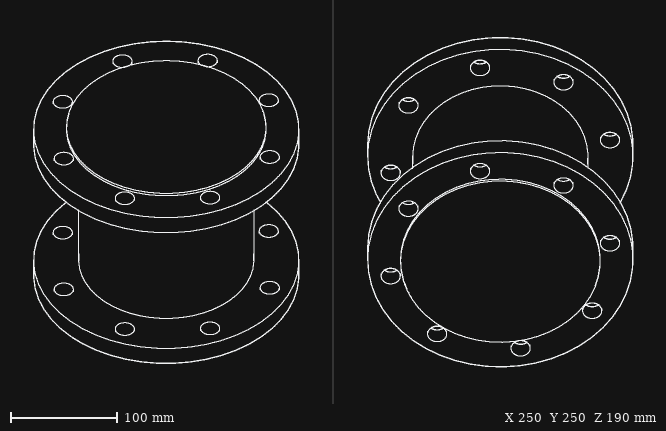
import cadquery as cq

total_height = 190.0
barrel_diameter = 165.0

flange_diameter = 250.0
flange_thickness = 19.0
raised_face_diameter = 188.0
raised_face_height = 3.0

bolt_hole_count = 8
bolt_hole_diameter = 18.0
bolt_circle_diameter = 210.0
first_hole_angle = 360.0 / bolt_hole_count / 2


def disc(diameter, height, base_z):
    """Solid cylinder on the Z axis, standing on base_z."""
    return cq.Workplane("XY", origin=(0, 0, base_z)).circle(diameter / 2).extrude(height)


def bottom_flange():
    """Flange with its raised face resting on Z = 0 and its bolt holes drilled through."""
    raised_face = disc(raised_face_diameter, raised_face_height, 0)
    plate = disc(flange_diameter, flange_thickness, raised_face_height)
    bolt_holes = (
        cq.Workplane("XY", origin=(0, 0, raised_face_height))
        .polarArray(bolt_circle_diameter / 2, first_hole_angle, 360, bolt_hole_count)
        .circle(bolt_hole_diameter / 2)
        .extrude(flange_thickness)
    )
    return plate.cut(bolt_holes).union(raised_face)


lower_flange = bottom_flange()
upper_flange = lower_flange.mirror("XY", (0, 0, total_height / 2))

barrel = disc(barrel_diameter, total_height - 2 * raised_face_height, raised_face_height)

result = barrel.union(lower_flange).union(upper_flange)